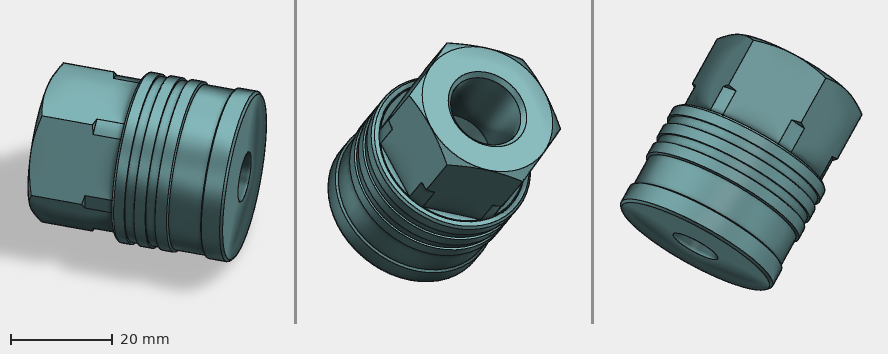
import cadquery as cq
import math

TOTAL_LENGTH = 40.25

ACROSS_FLATS = 27.97
HEX_CORNER_RADIUS = ACROSS_FLATS / math.sqrt(3)
HEX_FACE_RADIUS = 13.93
HEX_CHAMFER_ANGLE = 30.0

NECK_RADIUS = 15.3
NECK_START = 11.5
NECK_RAMP_LENGTH = 0.4

SLEEVE_START = 17.75
SLEEVE_DIAMETER = 34.0
SLEEVE_RADIUS = SLEEVE_DIAMETER / 2
SLEEVE_CHAMFER = 0.5
GROOVE_RADIUS = 16.55
GROOVE_START = 20.35
GROOVE_WIDTH = 1.97
GROOVE_PITCH = 4.25
GROOVE_COUNT = 2
WAIST_RADIUS = 16.5
WAIST_START = 29.0
WAIST_END = 36.05
WAIST_RAMP_LENGTH = 0.3

CLEARANCE_OUTER_RADIUS = 15.55
CLEARANCE_DEPTH = 1.0

BORE_RADIUS = 7.5
BORE_DEPTH = 16.1
BORE_MOUTH_RADIUS = 8.37
BORE_MOUTH_DEPTH = BORE_MOUTH_RADIUS - BORE_RADIUS
THROUGH_RADIUS = 5.0
DRILL_POINT_ANGLE = 118.0


def revolve_about_x(points):
    """Solid of revolution about X from a closed outline of (x, radius) points."""
    return cq.Workplane("XY").polyline(points).close().revolve(360, (0, 0, 0), (1, 0, 0))


def ring(start, length, inner_radius, outer_radius):
    return revolve_about_x([
        (start, inner_radius),
        (start + length, inner_radius),
        (start + length, outer_radius),
        (start, outer_radius),
    ])


def make_hex_end():
    """Hexagon with corners on +Y and -Y, chamfered at the end face and cut back at the neck."""
    hexagon = (
        cq.Workplane("YZ")
        .polygon(6, 2 * HEX_CORNER_RADIUS)
        .extrude(SLEEVE_START)
    )
    chamfer_length = (HEX_CORNER_RADIUS - HEX_FACE_RADIUS) * math.tan(math.radians(HEX_CHAMFER_ANGLE))
    turned_envelope = revolve_about_x([
        (0, 0),
        (0, HEX_FACE_RADIUS),
        (chamfer_length, HEX_CORNER_RADIUS),
        (NECK_START, HEX_CORNER_RADIUS),
        (NECK_START + NECK_RAMP_LENGTH, NECK_RADIUS),
        (SLEEVE_START, NECK_RADIUS),
        (SLEEVE_START, 0),
    ])
    return hexagon.intersect(turned_envelope)


def make_sleeve():
    """Chamfered sleeve with a ramped waist, narrow grooves and the clearance ring in its face."""
    sleeve = revolve_about_x([
        (SLEEVE_START, 0),
        (SLEEVE_START, SLEEVE_RADIUS - SLEEVE_CHAMFER),
        (SLEEVE_START + SLEEVE_CHAMFER, SLEEVE_RADIUS),
        (WAIST_START, SLEEVE_RADIUS),
        (WAIST_START + WAIST_RAMP_LENGTH, WAIST_RADIUS),
        (WAIST_END - WAIST_RAMP_LENGTH, WAIST_RADIUS),
        (WAIST_END, SLEEVE_RADIUS),
        (TOTAL_LENGTH - SLEEVE_CHAMFER, SLEEVE_RADIUS),
        (TOTAL_LENGTH, SLEEVE_RADIUS - SLEEVE_CHAMFER),
        (TOTAL_LENGTH, 0),
    ])
    for index in range(GROOVE_COUNT):
        groove_start = GROOVE_START + index * GROOVE_PITCH
        sleeve = sleeve.cut(ring(groove_start, GROOVE_WIDTH, GROOVE_RADIUS, SLEEVE_RADIUS))
    return sleeve.cut(ring(SLEEVE_START, CLEARANCE_DEPTH, NECK_RADIUS, CLEARANCE_OUTER_RADIUS))


def make_bore():
    """Countersunk bore with a drill-point bottom, opening into a smaller through hole."""
    cone_length = (BORE_RADIUS - THROUGH_RADIUS) / math.tan(math.radians(DRILL_POINT_ANGLE / 2))
    return revolve_about_x([
        (0, 0),
        (0, BORE_MOUTH_RADIUS),
        (BORE_MOUTH_DEPTH, BORE_RADIUS),
        (BORE_DEPTH, BORE_RADIUS),
        (BORE_DEPTH + cone_length, THROUGH_RADIUS),
        (TOTAL_LENGTH, THROUGH_RADIUS),
        (TOTAL_LENGTH, 0),
    ])


result = make_hex_end().union(make_sleeve()).cut(make_bore())